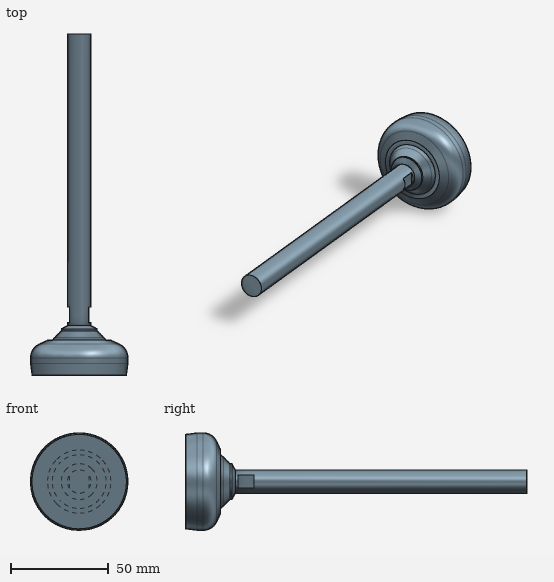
import cadquery as cq
import math


total_length = 175.0

pad_radius = 25.0
base_radius = 24.2
rim_start = 6.0
shoulder_start = 9.0
shoulder_round = 7.7
pad_top = 18.0
pad_slope = math.radians(25)

rod_radius = 6.0
across_flats = 10.0
flat_start = 27.0
flat_length = 8.0
rod_end = 25.5
collar_radius = 9.2
collar_top = 23.8
collar_bottom = 22.8
skirt_bend = 19.5
skirt_radius = 13.8


def turned(outline):
    """Revolve an outline drawn in the XY plane a full turn about the Y axis."""
    return outline.close().revolve(360, (0, 0, 0), (0, 1, 0))


def make_pad():
    round_center = pad_radius - shoulder_round

    def on_round(angle):
        return (
            round_center + shoulder_round * math.cos(angle),
            shoulder_start + shoulder_round * math.sin(angle),
        )

    tangent_angle = math.pi / 2 - pad_slope
    round_end = on_round(tangent_angle)
    top_radius = round_end[0] - (pad_top - round_end[1]) / math.tan(pad_slope)
    return turned(
        cq.Workplane("XY")
        .moveTo(0, 0)
        .lineTo(base_radius, 0)
        .lineTo(pad_radius, rim_start)
        .lineTo(pad_radius, shoulder_start)
        .threePointArc(on_round(tangent_angle / 2), round_end)
        .lineTo(top_radius, pad_top)
        .lineTo(0, pad_top)
    )


def make_stem():
    skirt_bend_radius = collar_radius + (collar_bottom - skirt_bend)
    stem = turned(
        cq.Workplane("XY")
        .moveTo(0, pad_top)
        .lineTo(skirt_radius, pad_top)
        .lineTo(skirt_bend_radius, skirt_bend)
        .lineTo(collar_radius, collar_bottom)
        .lineTo(collar_radius, collar_top)
        .lineTo(rod_radius, rod_end)
        .lineTo(rod_radius, total_length)
        .lineTo(0, total_length)
    )
    flat_depth = rod_radius - across_flats / 2
    for side in (-1, 1):
        cutter = cq.Workplane("XY").box(flat_depth, flat_length, 2 * rod_radius)
        cutter = cutter.translate(
            (side * (across_flats + flat_depth) / 2, flat_start + flat_length / 2, 0)
        )
        stem = stem.cut(cutter)
    return stem


pad = make_pad()
stem = make_stem()

result = cq.Compound.makeCompound([pad.val(), stem.val()])